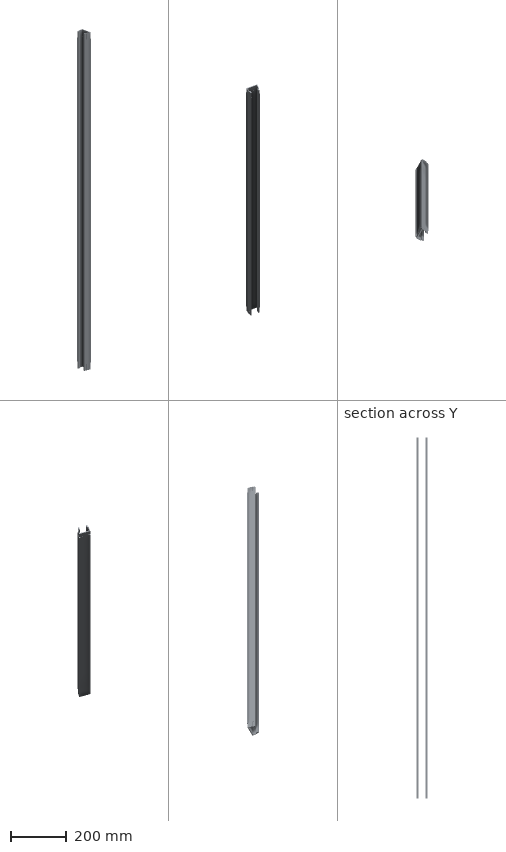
import cadquery as cq
import math

channel_length = 1293.75
bare_end = 25.0
cover_length = channel_length - 2 * bare_end

overall_width = 43.75
overall_depth = 30.12
skin = 0.12
back_y = overall_depth / 2
front_y = -overall_depth / 2

lean = math.radians(2.65)
web_back_y = 12.0
web_front_y = 9.0
tip_half_width = 19.55
wall_thickness = 2.2
lip_thickness = 4.5
lip_outer_height = 8.2
lip_inner_height = 9.4

bead_width = 5.5
bead_front_y = 9.5
bead_radius = 1.2

tip_wrap = 2.0

tip_y = front_y + skin * math.sin(lean)
lip_inner = wall_thickness + lip_thickness
jacket_back_y = web_back_y + skin
bead_outer_x = overall_width / 2
bead_inner_x = bead_outer_x - bead_width


def wall_point(inward, height):
    """Point of the right wall: square to its outer face, then along it from the tip."""
    x = tip_half_width - inward * math.cos(lean) + height * math.sin(lean)
    y = tip_y + inward * math.sin(lean) + height * math.cos(lean)
    return x, y


def wall_point_at(inward, y):
    """Point of the right wall at a given distance from its outer face and a given Y."""
    height = (y - tip_y - inward * math.sin(lean)) / math.cos(lean)
    return wall_point(inward, height)


def mirrored(right_half):
    """Close an outline by mirroring its right half in the YZ plane."""
    return right_half + [(-x, y) for x, y in reversed(right_half)]


def extruded(right_half, length):
    """Solid of a mirrored outline, centred on Z = 0."""
    outline = cq.Workplane("XY").workplane(offset=-length / 2)
    return outline.polyline(mirrored(right_half)).close().extrude(length)


back_corner = wall_point_at(0, web_back_y)
channel_inside = [
    wall_point(lip_inner, 0),
    wall_point(lip_inner, lip_inner_height),
    wall_point(wall_thickness, lip_inner_height),
    wall_point_at(wall_thickness, web_front_y),
]


def make_channel():
    outer_wall_and_lip = [
        back_corner,
        wall_point(0, lip_outer_height),
        wall_point(wall_thickness, lip_outer_height),
        wall_point(wall_thickness, 0),
    ]
    return extruded(outer_wall_and_lip + channel_inside, channel_length)


def make_jacket():
    """Thin cover over the back and the outer walls, with a bead at each back corner."""
    jacket_half = [
        back_corner,
        wall_point(0, 0),
        wall_point(-skin, 0),
        wall_point_at(-skin, bead_front_y),
        (bead_outer_x, bead_front_y),
        (bead_outer_x, back_y),
        (bead_inner_x, back_y),
        (bead_inner_x, jacket_back_y),
    ]
    body = extruded(jacket_half, cover_length)
    bead_corners = cq.selectors.BoxSelector(
        (-overall_width, back_y - skin, -channel_length),
        (overall_width, back_y + skin, channel_length),
    )
    outermost = body.edges("|Z").edges(bead_corners)
    return outermost.edges("<X or >X").fillet(bead_radius)


def make_liner():
    """Thin lining of the web front and the inner faces of the walls and lips."""
    free_faces = [
        wall_point_at(wall_thickness + skin, web_front_y - skin),
        wall_point(wall_thickness + skin, lip_inner_height + skin),
        wall_point(lip_inner + skin, lip_inner_height + skin),
        wall_point(lip_inner + skin, -skin),
        wall_point(lip_inner - tip_wrap, -skin),
        wall_point(lip_inner - tip_wrap, 0),
    ]
    return extruded(free_faces + channel_inside, cover_length)


channel = make_channel()
jacket = make_jacket()
liner = make_liner()

result = cq.Compound.makeCompound([channel.val(), jacket.val(), liner.val()])